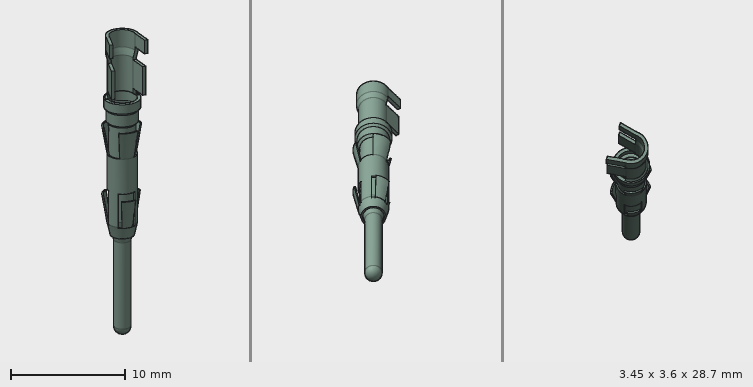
import cadquery as cq
import math


total_height = 28.7
pin_radius = 0.77
tip_height = pin_radius
shaft_radius = 1.2
taper_bottom = 9.07
taper_top = 11.22

shoulder_radius = 1.44
shoulder_bottom = 20.3
shoulder_top = 21.6
edge_height = 0.23
collar_radius = 1.65
collar_top = 22.73

sheet = 0.32
barrel_radius = 1.32
bell_radius = 1.5
barrel_foot_height = 0.187
bell_taper_bottom = 26.35
bell_taper_top = 27.04
wing_length = 1.66
wing_angle = 10.0
barrel_wing_bottom = 23.42
barrel_wing_top = 26.17
bell_wing_bottom = 27.38

collar_bore_radius = barrel_radius
funnel_radius = 0.83
funnel_top = shoulder_top
drill_radius = 0.43
drill_top = 19.8
drill_bottom = 19.55

sleeve_wall = 0.15
sleeve_radius = shaft_radius + sleeve_wall
sleeve_top = 17.35
sleeve_bottom = 9.6
sleeve_cone_top = 10.8
sleeve_mouth_radius = 1.1

tine_angles = (0, 120, 240)
tine_tip_radius = 1.8
upper_tine_span = 60.0
upper_tine_top = 20.0
lower_tine_span = 43.0
lower_tine_top = 13.43
window_span = 73.0
window_bottom = 10.7
window_top = 13.98


def revolved(outline):
    """Full turn about Z of a closed wire drawn as (radius, height)."""
    return outline.close().revolve(360, (0, 0, 0), (0, 1, 0))


def sector(span, bottom, top):
    """Wedge from the Z axis, centred on +X and reaching beyond the tines."""
    reach = 2 * tine_tip_radius
    half_width = reach * math.tan(math.radians(span / 2))
    return (
        cq.Workplane("XY", origin=(0, 0, bottom))
        .polyline([(0, 0), (reach, -half_width), (reach, half_width)])
        .close()
        .extrude(top - bottom)
    )


def contact_core():
    """Pin, shaft, collar and full-round barrel, with the bore, in one turn."""
    tip_mid = math.sqrt(0.5)
    barrel_bore = barrel_radius - sheet
    return revolved(
        cq.Workplane("XZ")
        .moveTo(0, 0)
        .threePointArc((pin_radius * tip_mid, tip_height * (1 - tip_mid)), (pin_radius, tip_height))
        .lineTo(pin_radius, taper_bottom)
        .lineTo(shaft_radius, taper_top)
        .lineTo(shaft_radius, shoulder_bottom)
        .lineTo(shoulder_radius, shoulder_bottom + edge_height)
        .lineTo(shoulder_radius, shoulder_top)
        .lineTo(collar_radius, shoulder_top + edge_height)
        .lineTo(collar_radius, collar_top)
        .lineTo(barrel_radius + barrel_foot_height, collar_top)
        .lineTo(barrel_radius, collar_top + barrel_foot_height)
        .lineTo(barrel_radius, bell_taper_bottom)
        .lineTo(bell_radius, bell_taper_top)
        .lineTo(bell_radius, total_height)
        .lineTo(bell_radius - sheet, total_height)
        .lineTo(bell_radius - sheet, bell_taper_top)
        .lineTo(barrel_bore, bell_taper_bottom)
        .lineTo(barrel_bore, collar_top + barrel_foot_height)
        .lineTo(collar_bore_radius, collar_top)
        .lineTo(collar_bore_radius, shoulder_top + edge_height)
        .lineTo(barrel_bore, shoulder_top + edge_height)
        .lineTo(barrel_bore, funnel_top)
        .lineTo(funnel_radius, funnel_top)
        .lineTo(drill_radius, drill_top)
        .lineTo(0, drill_bottom)
    )


def barrel_opening():
    """Block that removes the +X half of the barrel above the collar."""
    size = 4 * bell_radius
    return cq.Workplane("XY", origin=(size / 2, 0, collar_top)).box(
        size, size, total_height, centered=(True, True, False)
    )


def wing_pair(radius, bottom, top):
    """Two flat crimp wings that carry the barrel wall on towards +X, leaning outwards."""
    rise = wing_length * math.tan(math.radians(wing_angle))
    wing = (
        cq.Workplane("XY", origin=(0, 0, bottom))
        .moveTo(0, radius - sheet)
        .lineTo(0, radius)
        .lineTo(wing_length, radius + rise)
        .lineTo(wing_length, radius + rise - sheet)
        .close()
        .extrude(top - bottom)
    )
    return wing.union(wing.mirror("XZ"))


def make_contact():
    return (
        contact_core()
        .cut(barrel_opening())
        .union(wing_pair(barrel_radius, barrel_wing_bottom, barrel_wing_top))
        .union(wing_pair(bell_radius, bell_wing_bottom, total_height))
    )


def sleeve_tube():
    """Thin tube round the shaft that narrows at its lower end."""
    return revolved(
        cq.Workplane("XZ")
        .moveTo(shaft_radius, sleeve_top)
        .lineTo(sleeve_radius, sleeve_top)
        .lineTo(sleeve_radius, sleeve_cone_top)
        .lineTo(sleeve_mouth_radius, sleeve_bottom)
        .lineTo(sleeve_mouth_radius - sleeve_wall, sleeve_bottom)
        .lineTo(shaft_radius, sleeve_cone_top)
    )


def tine(span, bottom, top):
    """Spring finger centred on +X: a strip of a cone that widens upwards."""
    cone = revolved(
        cq.Workplane("XZ")
        .moveTo(shaft_radius, bottom)
        .lineTo(sleeve_radius, bottom)
        .lineTo(tine_tip_radius, top)
        .lineTo(tine_tip_radius - sleeve_wall, top)
    )
    return cone.intersect(sector(span, bottom, top))


def make_sleeve():
    sleeve = sleeve_tube()
    window = sector(window_span, window_bottom, window_top)
    upper_tine = tine(upper_tine_span, sleeve_top, upper_tine_top)
    lower_tine = tine(lower_tine_span, window_bottom, lower_tine_top)
    for angle in tine_angles:
        sleeve = sleeve.cut(window.rotate((0, 0, 0), (0, 0, 1), angle))
        for finger in (upper_tine, lower_tine):
            sleeve = sleeve.union(finger.rotate((0, 0, 0), (0, 0, 1), angle))
    return sleeve


contact = make_contact()
sleeve = make_sleeve()

result = cq.Compound.makeCompound([contact.val(), sleeve.val()])